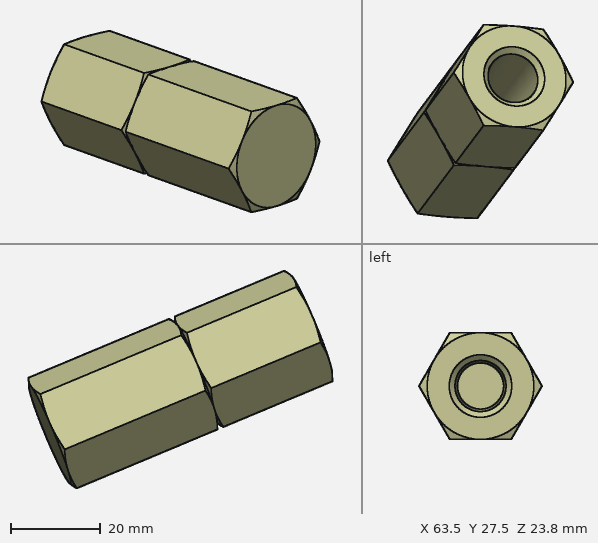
import cadquery as cq
import math

total_length = 63.5
socket_length = 27.95
across_flats = 23.8
across_corners = across_flats / math.cos(math.radians(30))

bevel_length = 0.7
bevel_height = (across_corners - across_flats) / 2

mouth_diameter = 14.0
bore_diameter = 11.4
bore_end_diameter = 10.3
countersink_depth = (mouth_diameter - bore_diameter) / 2


def bevel_envelope(start, length):
    """Turned blank around X, coned at both ends down to the across-flats circle."""
    face_radius = across_flats / 2
    corner_radius = face_radius + bevel_height
    end = start + length
    return (
        cq.Workplane("XY")
        .moveTo(start, 0)
        .lineTo(start, face_radius)
        .lineTo(start + bevel_length, corner_radius)
        .lineTo(end - bevel_length, corner_radius)
        .lineTo(end, face_radius)
        .lineTo(end, 0)
        .close()
        .revolve(360, (0, 0, 0), (1, 0, 0))
    )


def hex_bar(start, length):
    """Hexagonal bar along X with flats facing +Z and -Z, and beveled end corners."""
    prism = (
        cq.Workplane("YZ", origin=(start, 0, 0))
        .polygon(6, across_corners)
        .extrude(length)
    )
    return prism.intersect(bevel_envelope(start, length))


def tapered_bore(start, length):
    """Countersink followed by a slightly narrowing bore."""
    return (
        cq.Workplane("XY")
        .moveTo(start, 0)
        .lineTo(start, mouth_diameter / 2)
        .lineTo(start + countersink_depth, bore_diameter / 2)
        .lineTo(start + length, bore_end_diameter / 2)
        .lineTo(start + length, 0)
        .close()
        .revolve(360, (0, 0, 0), (1, 0, 0))
    )


left_end = -total_length / 2
socket = hex_bar(left_end, socket_length).cut(tapered_bore(left_end, socket_length))

plug = hex_bar(left_end + socket_length, total_length - socket_length)

result = cq.Compound.makeCompound([socket.val(), plug.val()])